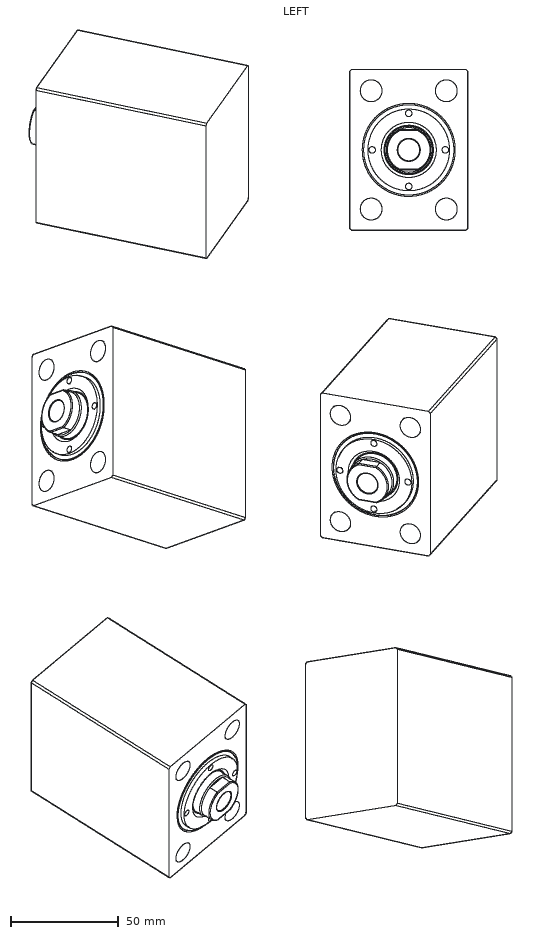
import cadquery as cq
import math

OVERALL_LENGTH = 95.0

BLOCK_LENGTH = 84.8
BLOCK_WIDTH = 55.0
BLOCK_HEIGHT = 75.0
BLOCK_CHAMFER = 0.95

MOUNT_DIAMETER = 10.2
MOUNT_DEPTH = 19.95
MOUNT_SPACING_Y = 35.0
MOUNT_SPACING_Z = 55.0

GLAND_DIAMETER = 42.0
GLAND_SEAT_DEPTH = 19.95
BORE_CHAMFER = 0.7
FLANGE_DIAMETER = 38.0
FLANGE_PROJECTION = 1.9
WIPER_MOUTH_DIAMETER = 25.65
WIPER_THROAT_DIAMETER = 23.0

SPANNER_HOLE_COUNT = 4
SPANNER_HOLE_DIAMETER = 3.0
SPANNER_HOLE_DEPTH = 4.75
SPANNER_CIRCLE_RADIUS = 17.0

ROD_DIAMETER = 22.0
ROD_SHOULDER = 5.2
HEAD_PROJECTION = OVERALL_LENGTH - BLOCK_LENGTH
HEAD_DIAMETER = 20.8
HEAD_CHAMFER = 0.5
HEAD_FLATS = 18.8
ROD_HOLE_DIAMETER = 10.2
ROD_HOLE_DEPTH = 19.0
ROD_HOLE_CHAMFER = 0.3

DRILL_POINT_ANGLE = 118


def x_cylinder(diameter, x_start, x_end):
    """Cylinder on the X axis between two X positions."""
    return cq.Workplane("YZ", origin=(x_start, 0, 0)).circle(diameter / 2).extrude(x_end - x_start)


def drilled_hole(diameter, depth, x_face, y, z):
    """Cutter for a blind hole along +X, with full diameter to `depth` and a conical drill point."""
    radius = diameter / 2
    point_length = radius / math.tan(math.radians(DRILL_POINT_ANGLE / 2))
    profile = [(0, 0), (depth + point_length, 0), (depth, radius), (0, radius)]
    return (
        cq.Workplane("XY")
        .polyline(profile)
        .close()
        .revolve(360, (0, 0), (1, 0))
        .translate((x_face, y, z))
    )


def make_housing():
    """Chamfered block with a blind bore for the gland and four blind mounting holes."""
    block = (
        cq.Workplane("XY")
        .box(BLOCK_LENGTH, BLOCK_WIDTH, BLOCK_HEIGHT, centered=(False, True, True))
        .edges("|X")
        .chamfer(BLOCK_CHAMFER)
    )
    block = block.cut(x_cylinder(GLAND_DIAMETER, 0, GLAND_SEAT_DEPTH))
    block = block.faces("<X").edges("%CIRCLE").chamfer(BORE_CHAMFER)
    for side_y in (-1, 1):
        for side_z in (-1, 1):
            y = side_y * MOUNT_SPACING_Y / 2
            z = side_z * MOUNT_SPACING_Z / 2
            block = block.cut(drilled_hole(MOUNT_DIAMETER, MOUNT_DEPTH, 0, y, z))
    return block


def make_gland():
    """Stepped ring with a 45-degree mouth, a flat lip around the rod and spanner holes in its flange."""
    rod_radius = ROD_DIAMETER / 2
    cone_depth = (WIPER_MOUTH_DIAMETER - WIPER_THROAT_DIAMETER) / 2
    lip_x = cone_depth - FLANGE_PROJECTION
    profile = [
        (GLAND_SEAT_DEPTH, rod_radius),
        (GLAND_SEAT_DEPTH, GLAND_DIAMETER / 2),
        (0, GLAND_DIAMETER / 2),
        (0, FLANGE_DIAMETER / 2),
        (-FLANGE_PROJECTION, FLANGE_DIAMETER / 2),
        (-FLANGE_PROJECTION, WIPER_MOUTH_DIAMETER / 2),
        (lip_x, WIPER_THROAT_DIAMETER / 2),
        (lip_x, rod_radius),
    ]
    gland = cq.Workplane("XY").polyline(profile).close().revolve(360, (0, 0), (1, 0))
    for index in range(SPANNER_HOLE_COUNT):
        angle = 2 * math.pi * index / SPANNER_HOLE_COUNT
        y = SPANNER_CIRCLE_RADIUS * math.cos(angle)
        z = SPANNER_CIRCLE_RADIUS * math.sin(angle)
        gland = gland.cut(
            drilled_hole(SPANNER_HOLE_DIAMETER, SPANNER_HOLE_DEPTH, -FLANGE_PROJECTION, y, z)
        )
    return gland


def make_rod():
    """Rod with a smaller, two-flatted head and a blind hole in its end."""
    head_length = HEAD_PROJECTION - ROD_SHOULDER
    shank = x_cylinder(ROD_DIAMETER, -ROD_SHOULDER, GLAND_SEAT_DEPTH)
    shank = shank.faces("<X").chamfer((ROD_DIAMETER - HEAD_DIAMETER) / 2)
    flats = cq.Workplane("XY").box(
        head_length, HEAD_DIAMETER, HEAD_FLATS, centered=(False, True, True)
    )
    head = x_cylinder(HEAD_DIAMETER, -HEAD_PROJECTION, -ROD_SHOULDER)
    head = head.intersect(flats.translate((-HEAD_PROJECTION, 0, 0)))
    head = head.faces("<X").chamfer(HEAD_CHAMFER)
    rod = shank.union(head)
    rod = rod.cut(drilled_hole(ROD_HOLE_DIAMETER, ROD_HOLE_DEPTH, -HEAD_PROJECTION, 0, 0))
    hole_rim = rod.faces("<X").edges("%CIRCLE").edges(cq.selectors.RadiusNthSelector(0))
    return hole_rim.chamfer(ROD_HOLE_CHAMFER)


housing = make_housing()
gland = make_gland()
rod = make_rod()

result = cq.Compound.makeCompound([housing.val(), gland.val(), rod.val()])